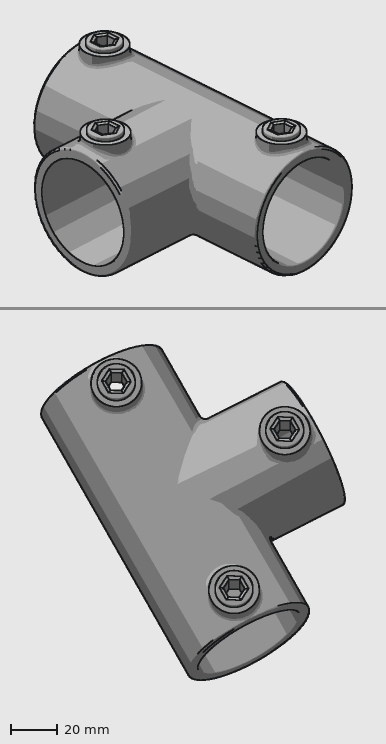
import cadquery as cq
import math

tube_radius = 60.0 / 2
bore_radius = 50.0 / 2
run_length = 136.0
branch_length = 68.0
crotch_fillet = 3.0
rim_fillet = 1.0

boss_radius = 22.0 / 2
boss_top = 34.4
boss_fillet = 2.9
foot_margin = 1.4

screw_radius = 16.5 / 2
screw_end_radius = 15.2 / 2
overall_height = 66.5
screw_length = 13.0
socket_across_flats = 8.0
socket_mouth_across_flats = 11.0
socket_mouth_depth = 0.5

screw_inset = 14.0
run_screw_x = run_length / 2 - screw_inset
branch_screw_y = screw_inset - branch_length
screw_points = [(-run_screw_x, 0), (run_screw_x, 0), (0, branch_screw_y)]
screw_top = overall_height - tube_radius
screw_bottom = screw_top - screw_length


def run_cylinder(radius):
    return cq.Workplane("YZ").circle(radius).extrude(run_length / 2, both=True)


def branch_cylinder(radius):
    return cq.Workplane("XZ").circle(radius).extrude(branch_length)


def vertical_cylinder(point, radius, top):
    return cq.Workplane("XY").center(*point).circle(radius).extrude(top)


def make_tee_body():
    body = run_cylinder(tube_radius).union(branch_cylinder(tube_radius))
    crotch_edges = cq.selectors.BoxSelector(
        (-tube_radius, -tube_radius, -tube_radius),
        (tube_radius, 0, tube_radius),
    )
    return body.edges(crotch_edges).fillet(crotch_fillet)


def add_boss(body, point):
    x, y = point
    boss_foot = cq.selectors.BoxSelector(
        (x - boss_radius - foot_margin, y - boss_radius - foot_margin, bore_radius),
        (x + boss_radius + foot_margin, y + boss_radius + foot_margin, boss_top - foot_margin),
        boundingbox=True,
    )
    body = body.union(vertical_cylinder(point, boss_radius, boss_top))
    return body.edges(boss_foot).fillet(boss_fillet)


def make_housing():
    body = make_tee_body()
    for point in screw_points:
        body = add_boss(body, point)

    body = body.faces("<X or >X or <Y").edges().fillet(rim_fillet)

    for point in screw_points:
        body = body.cut(vertical_cylinder(point, screw_radius, boss_top))

    body = body.cut(run_cylinder(bore_radius))
    mouth_edges = body.faces("<X or >X").edges("%CIRCLE").edges(cq.selectors.RadiusNthSelector(0))
    body = mouth_edges.fillet(rim_fillet)
    return body.cut(branch_cylinder(bore_radius))


def hexagon_diameter(across_flats):
    return across_flats / math.cos(math.pi / 6)


def make_screw(point):
    blank = (
        cq.Workplane("XY")
        .circle(screw_radius)
        .extrude(screw_length)
        .faces("<Z or >Z")
        .edges()
        .fillet(screw_radius - screw_end_radius)
    )

    socket = cq.Workplane("XY").polygon(6, hexagon_diameter(socket_across_flats)).extrude(screw_length)
    mouth = (
        cq.Workplane("XY", origin=(0, 0, screw_length - socket_mouth_depth))
        .polygon(6, hexagon_diameter(socket_across_flats))
        .workplane(offset=socket_mouth_depth)
        .polygon(6, hexagon_diameter(socket_mouth_across_flats))
        .loft(ruled=True)
    )
    return blank.cut(socket).cut(mouth).translate((*point, screw_bottom))


housing = make_housing()
screws = [make_screw(point) for point in screw_points]
result = cq.Compound.makeCompound([housing.val(), *[screw.val() for screw in screws]])